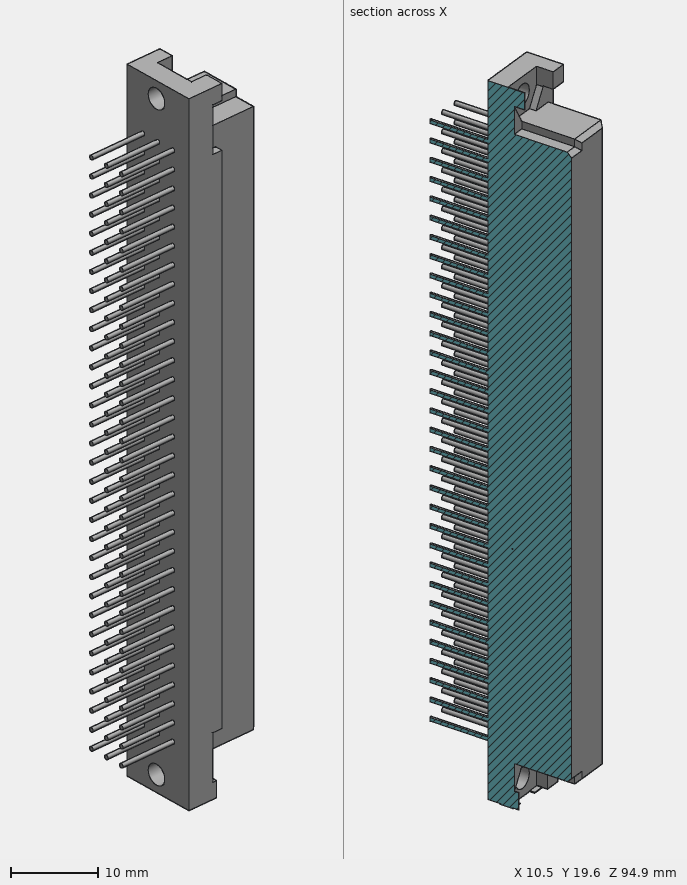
import cadquery as cq
import math

FLANGE_WIDTH = 10.5
FLANGE_LENGTH = 94.8
FLOOR_HEIGHT = 3.7
LEDGE_HEIGHT = 5.1
LEDGE_END_INSET = 8.9
LIP_THICKNESS = 2.3
TOP_LIP_HEIGHT = LEDGE_HEIGHT
BOTTOM_LIP_HEIGHT = 4.3

BODY_WIDTH = 8.35
BODY_LENGTH = 85.0
BODY_HEIGHT = 11.6
BODY_CHAMFER = 0.6
STEP_X = 1.2
STEP_DEPTH = 1.0

HOLE_DIAMETER = 2.8
HOLE_SPACING = 90.0
HOLE_X = -0.25
NUT_ACROSS_FLATS = HOLE_SPACING - BODY_LENGTH
NUT_FLOOR_HEIGHT = 2.8

PIN_DIAMETER = 0.6
PIN_LENGTH = 8.0
PIN_PITCH = 2.54
PIN_COLUMNS = 3
PIN_ROWS = 32

PAD_LENGTH = 6.0
PAD_START_Y = 1.7
PAD_END_Y = 3.5
PAD_THICKNESS = 0.1

NUT_ACROSS_CORNERS = NUT_ACROSS_FLATS / math.cos(math.radians(30))
HALF_FLANGE = FLANGE_LENGTH / 2
ENDS = (1, -1)


def block(x_range, y_range, z_range):
    """Box spanning the given (low, high) ranges."""
    size = [high - low for low, high in (x_range, y_range, z_range)]
    corner = (x_range[0], y_range[0], z_range[0])
    return cq.Workplane("XY").box(*size, centered=False).translate(corner)


def extrude_along_y(outline, start_y, end_y):
    """Extrude a sketch drawn on the XZ plane between two Y positions."""
    return outline.extrude(start_y - end_y).translate((0, start_y, 0))


def make_flange():
    """Side profile of the bar: end lips, gaps and the raised ledge."""
    ledge_end = HALF_FLANGE - LEDGE_END_INSET
    lip_start = HALF_FLANGE - LIP_THICKNESS
    profile = [
        (0, -HALF_FLANGE),
        (BOTTOM_LIP_HEIGHT, -HALF_FLANGE),
        (BOTTOM_LIP_HEIGHT, -lip_start),
        (FLOOR_HEIGHT, -lip_start),
        (FLOOR_HEIGHT, -ledge_end),
        (LEDGE_HEIGHT, -ledge_end),
        (LEDGE_HEIGHT, ledge_end),
        (FLOOR_HEIGHT, ledge_end),
        (FLOOR_HEIGHT, lip_start),
        (TOP_LIP_HEIGHT, lip_start),
        (TOP_LIP_HEIGHT, HALF_FLANGE),
        (0, HALF_FLANGE),
    ]
    return cq.Workplane("YZ").polyline(profile).close().extrude(FLANGE_WIDTH / 2, both=True)


def make_body():
    """Plug body, stepped at both ends and chamfered around the mating face."""
    half_width = BODY_WIDTH / 2
    long_end = BODY_LENGTH / 2
    short_end = long_end - STEP_DEPTH
    outline = cq.Workplane("XZ").polyline([
        (-half_width, -long_end),
        (STEP_X, -long_end),
        (STEP_X, -short_end),
        (half_width, -short_end),
        (half_width, short_end),
        (STEP_X, short_end),
        (STEP_X, long_end),
        (-half_width, long_end),
    ]).close()
    body = extrude_along_y(outline, FLOOR_HEIGHT, BODY_HEIGHT)
    return body.faces(">Y").edges().chamfer(BODY_CHAMFER)


def make_pad():
    half_length = PAD_LENGTH / 2
    return block(
        (HOLE_X - half_length, HOLE_X + half_length),
        (PAD_START_Y, PAD_END_Y),
        (-HALF_FLANGE - PAD_THICKNESS, -HALF_FLANGE),
    )


def make_pins():
    """Grid of round pins that stand on the back face and point to -Y."""
    pins = (
        cq.Workplane("XZ")
        .rarray(PIN_PITCH, PIN_PITCH, PIN_COLUMNS, PIN_ROWS)
        .circle(PIN_DIAMETER / 2)
    )
    return pins.extrude(PIN_LENGTH)


def make_nut_pocket(end):
    """Hexagonal pocket plus the straight notch that opens it through the lip."""
    hole_z = end * HOLE_SPACING / 2
    hexagon = cq.Workplane("XZ").center(HOLE_X, hole_z).polygon(6, NUT_ACROSS_CORNERS)
    pocket = extrude_along_y(hexagon, NUT_FLOOR_HEIGHT, LEDGE_HEIGHT)
    half_notch = NUT_ACROSS_CORNERS / 2
    notch = block(
        (HOLE_X - half_notch, HOLE_X + half_notch),
        (NUT_FLOOR_HEIGHT, LEDGE_HEIGHT),
        sorted((hole_z, end * HALF_FLANGE)),
    )
    return pocket.union(notch)


def make_mounting_hole(end):
    circle = cq.Workplane("XZ").center(HOLE_X, end * HOLE_SPACING / 2).circle(HOLE_DIAMETER / 2)
    return extrude_along_y(circle, 0, LEDGE_HEIGHT)


flange = make_flange().union(make_pad())
for end in ENDS:
    flange = flange.cut(make_nut_pocket(end))
    flange = flange.cut(make_mounting_hole(end))

result = flange.union(make_body()).union(make_pins())